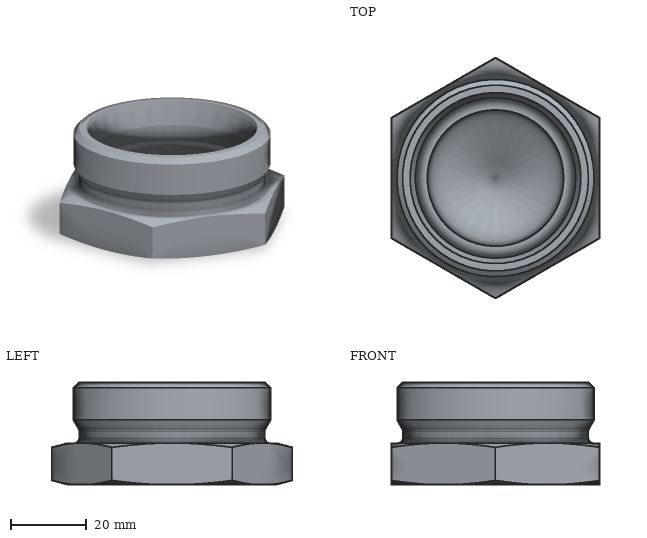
import cadquery as cq
import math

hex_corners = 63.5
hex_height = 11.0
hex_flats = hex_corners * math.cos(math.radians(30))
hex_chamfer_angle = 15.0

total_height = 27.0
collar_radius = 52.0 / 2
neck_radius = 49.0 / 2
rim_chamfer_height = 1.45
collar_bottom = 17.1
undercut_angle = 30.0
fillet_radius = 1.3

mouth_radius = 45.1 / 2
seat_radius = 42.3 / 2
recess_radius = 36.0 / 2
taper_angle = 12.0
seat_depth = 10.9
recess_depth = 13.85
cone_angle = 118.0


def hex_flange():
    """Hexagon with corners on Y, both ends turned to a cone tangent to the flats."""
    prism = cq.Workplane("XY").polygon(6, hex_corners).extrude(hex_height)
    prism = prism.rotate((0, 0, 0), (0, 0, 1), 90)
    face_radius = hex_flats / 2
    corner_radius = hex_corners / 2
    drop = (corner_radius - face_radius) * math.tan(math.radians(hex_chamfer_angle))
    envelope = (
        cq.Workplane("XZ")
        .moveTo(0, 0)
        .lineTo(face_radius, 0)
        .lineTo(corner_radius, drop)
        .lineTo(corner_radius, hex_height - drop)
        .lineTo(face_radius, hex_height)
        .lineTo(0, hex_height)
        .close()
        .revolve(360, (0, 0, 0), (0, 1, 0))
    )
    return prism.intersect(envelope)


def collar():
    """Collar with a chamfered rim, an undercut neck and fillets at both ends of the neck."""
    fillet_inset = fillet_radius * (1 - math.sqrt(0.5))
    slope = math.radians(undercut_angle)
    neck_top = collar_bottom - (collar_radius - neck_radius) / math.tan(slope)
    tangent_length = fillet_radius * math.tan(slope / 2)
    blend_bottom = neck_top - tangent_length
    blend_middle = (
        neck_radius + fillet_radius * (1 - math.cos(slope / 2)),
        blend_bottom + fillet_radius * math.sin(slope / 2),
    )
    blend_top = (
        neck_radius + tangent_length * math.sin(slope),
        neck_top + tangent_length * math.cos(slope),
    )
    return (
        cq.Workplane("XZ")
        .moveTo(0, hex_height)
        .lineTo(neck_radius + fillet_radius, hex_height)
        .threePointArc(
            (neck_radius + fillet_inset, hex_height + fillet_inset),
            (neck_radius, hex_height + fillet_radius),
        )
        .lineTo(neck_radius, blend_bottom)
        .threePointArc(blend_middle, blend_top)
        .lineTo(collar_radius, collar_bottom)
        .lineTo(collar_radius, total_height - rim_chamfer_height)
        .lineTo(neck_radius, total_height)
        .lineTo(0, total_height)
        .close()
        .revolve(360, (0, 0, 0), (0, 1, 0))
    )


def bore():
    """Cutter for the tapered mouth, the straight seat, the recess and the cone below it."""
    cone_depth = recess_radius / math.tan(math.radians(cone_angle / 2))
    taper_depth = (mouth_radius - seat_radius) / math.tan(math.radians(taper_angle))
    recess_floor = total_height - recess_depth
    return (
        cq.Workplane("XZ")
        .moveTo(0, total_height)
        .lineTo(mouth_radius, total_height)
        .lineTo(seat_radius, total_height - taper_depth)
        .lineTo(seat_radius, total_height - seat_depth)
        .lineTo(recess_radius, total_height - seat_depth)
        .lineTo(recess_radius, recess_floor)
        .lineTo(0, recess_floor - cone_depth)
        .close()
        .revolve(360, (0, 0, 0), (0, 1, 0))
    )


result = hex_flange().union(collar()).cut(bore())